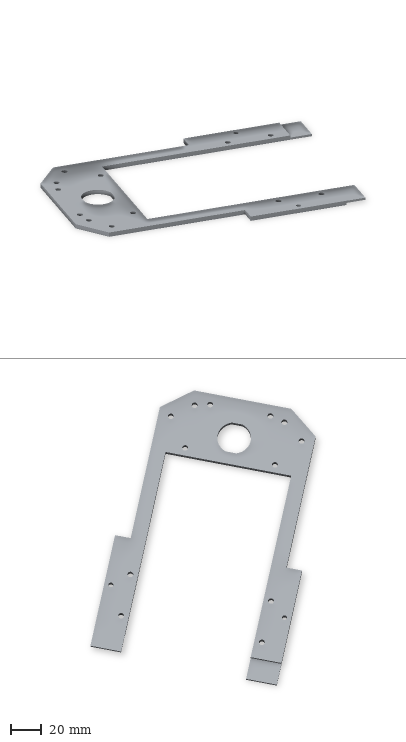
import cadquery as cq

thickness = 3.0
outer_half_width = 62.5
left_arm_end = 193.5
right_arm_end = 191.5

body_half_width = 52.0
base_half_width = 32.5
base_corner_height = 16.0
shoulder_height = 111.3
slot_half_width = 42.0
slot_floor = 46.6

lap_start = 178.5
lap_thickness = thickness / 2

window_diameter = 22.0
window_flat_spacing = 20.9
window_height = 27.9

screw_diameter = 3.9
pin_diameter = 3.3
screw_positions = [
    (20.1, 7.7),
    (30.0, 10.3),
    (30.0, 41.2),
    (43.7, 21.0),
    (47.0, 136.6),
    (47.0, 166.6),
]
pin_positions = [(58.0, 146.5)]


def make_fork():
    """Flat fork with bevelled base corners and wider arm ends."""
    return (
        cq.Workplane("XY")
        .moveTo(-base_half_width, 0)
        .lineTo(base_half_width, 0)
        .lineTo(body_half_width, base_corner_height)
        .lineTo(body_half_width, shoulder_height)
        .lineTo(outer_half_width, shoulder_height)
        .lineTo(outer_half_width, right_arm_end)
        .lineTo(slot_half_width, right_arm_end)
        .lineTo(slot_half_width, slot_floor)
        .lineTo(-slot_half_width, slot_floor)
        .lineTo(-slot_half_width, left_arm_end)
        .lineTo(-outer_half_width, left_arm_end)
        .lineTo(-outer_half_width, shoulder_height)
        .lineTo(-body_half_width, shoulder_height)
        .lineTo(-body_half_width, base_corner_height)
        .close()
        .extrude(thickness)
    )


def lap_cutter(x_start, arm_end, z_start):
    """Block that removes half the thickness at the end of one arm."""
    arm_width = outer_half_width - slot_half_width
    lap_length = arm_end - lap_start
    return (
        cq.Workplane("XY")
        .box(arm_width, lap_length, lap_thickness, centered=False)
        .translate((x_start, lap_start, z_start))
    )


def hole_cutter(positions, diameter):
    """Through-thickness cylinders at the given positions."""
    return cq.Workplane("XY").pushPoints(positions).circle(diameter / 2).extrude(thickness)


def both_sides(positions):
    """Positions together with their mirror images across the centre line."""
    return [(side * x, y) for side in (-1, 1) for x, y in positions]


def window_cutter():
    """Round window with flats at its top and bottom."""
    centre = [(0, window_height)]
    flats = (
        cq.Workplane("XY")
        .pushPoints(centre)
        .rect(window_diameter, window_flat_spacing)
        .extrude(thickness)
    )
    return hole_cutter(centre, window_diameter).intersect(flats)


result = make_fork()

result = result.cut(lap_cutter(-outer_half_width, left_arm_end, thickness - lap_thickness))
result = result.cut(lap_cutter(slot_half_width, right_arm_end, 0))

result = result.cut(window_cutter())
result = result.cut(hole_cutter(both_sides(screw_positions), screw_diameter))
result = result.cut(hole_cutter(both_sides(pin_positions), pin_diameter))